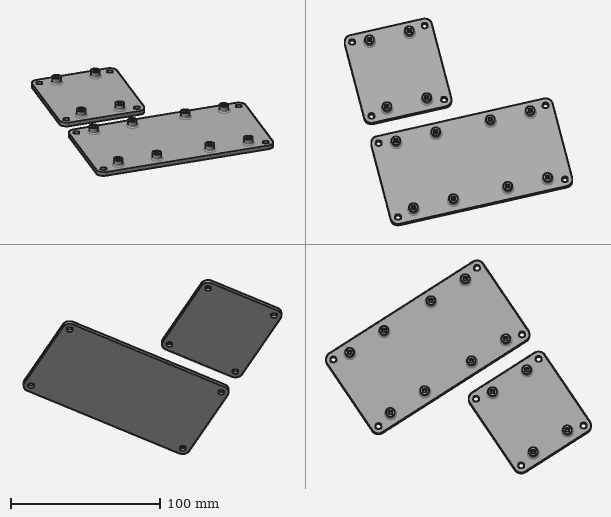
import cadquery as cq

total_width = 140.0
plate_width = 65.0
short_length = 60.0
long_length = 125.0
plate_thickness = 3.0
corner_radius = 5.0

mount_hole_diameter = 4.0

total_height = 7.0
standoff_height = total_height - plate_thickness
standoff_diameter = 6.0
standoff_foot_radius = 1.0
screw_hole_diameter = 2.8
standoff_spacing_x = 49.5
standoff_spacing_y = 27.5

board_center_offset = short_length / 2


def corner_points(spacing_x, spacing_y, center_y):
    """Four corners of a rectangle centered on the plate's middle line."""
    return [
        (plate_width / 2 + side_x * spacing_x / 2, center_y + side_y * spacing_y / 2)
        for side_x in (-1, 1)
        for side_y in (-1, 1)
    ]


def make_base(length):
    """Flat plate with rounded corners and a through hole in each corner."""
    hole_points = corner_points(
        plate_width - 2 * corner_radius, length - 2 * corner_radius, length / 2
    )
    base = cq.Workplane("XY").box(plate_width, length, plate_thickness, centered=False)
    base = base.edges("|Z").fillet(corner_radius)
    holes = (
        cq.Workplane("XY")
        .pushPoints(hole_points)
        .circle(mount_hole_diameter / 2)
        .extrude(plate_thickness)
    )
    return base.cut(holes)


def make_standoff():
    """Standoff revolved about the Z axis, flaring into the plate at its foot."""
    inner_radius = screw_hole_diameter / 2
    outer_radius = standoff_diameter / 2
    foot_radius = outer_radius + standoff_foot_radius
    return (
        cq.Workplane("XZ")
        .moveTo(inner_radius, 0)
        .lineTo(foot_radius, 0)
        .radiusArc((outer_radius, standoff_foot_radius), standoff_foot_radius)
        .lineTo(outer_radius, standoff_height)
        .lineTo(inner_radius, standoff_height)
        .close()
        .revolve(360, (0, 0, 0), (0, 1, 0))
    )


def make_plate(length, board_centers):
    """Plate with one group of four standoffs for each board center along Y."""
    plate = make_base(length)
    standoff = make_standoff()
    for center_y in board_centers:
        for x, y in corner_points(standoff_spacing_x, standoff_spacing_y, center_y):
            plate = plate.union(standoff.translate((x, y, plate_thickness)))
    return plate


short_plate = make_plate(short_length, [board_center_offset])

long_plate = make_plate(
    long_length, [board_center_offset, long_length - board_center_offset]
).translate((total_width - plate_width, 0, 0))

result = cq.Compound.makeCompound([short_plate.val(), long_plate.val()])